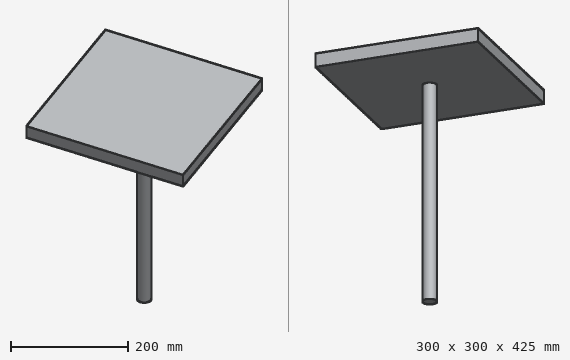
import cadquery as cq

total_height = 425.0
plate_side = 300.0
plate_thickness = 25.0
post_diameter = 25.0
post_length = total_height - plate_thickness

post = cq.Workplane("XY").circle(post_diameter / 2).extrude(post_length)

plate = (
    cq.Workplane("XY")
    .workplane(offset=post_length)
    .rect(plate_side, plate_side)
    .extrude(plate_thickness)
)

result = plate.union(post)